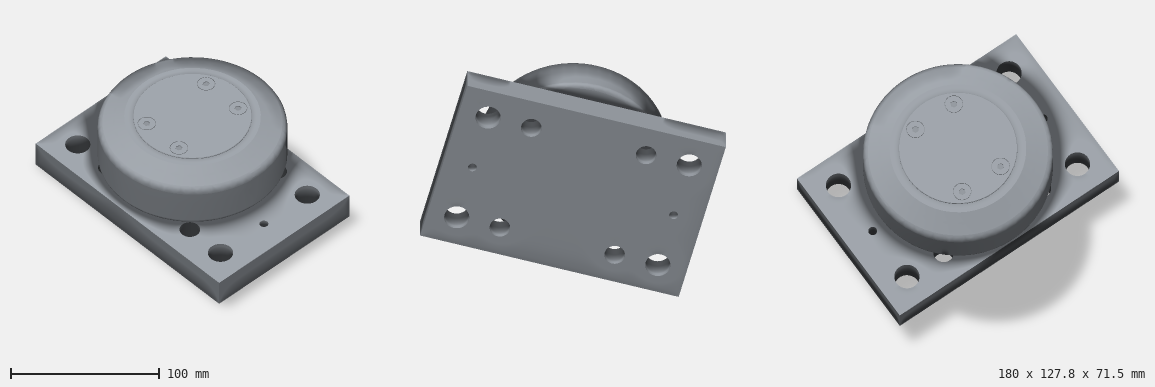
import cadquery as cq
import math

plate_length = 180.0
plate_width = 120.0
plate_thickness = 20.0
mount_hole_diameter = 17.0
mount_hole_x = 70.0
hole_row_y = 40.0
pin_hole_diameter = 6.0
inner_hole_diameter = 13.9
inner_hole_x = hole_row_y

total_height = 71.5
neck_diameter = 80.0
cap_rise = 0.7
cap_chamfer = 0.4

roller_diameter = 127.8
roller_bottom = 33.1
roller_top = total_height - cap_rise
crown_height = 0.2
top_face_radius = 45.9
cone_angle = 20.0
top_fillet = 5.0
bottom_fillet = 3.0

screw_circle_radius = 31.5
screw_angle = 60.0
screw_recess_diameter = 12.5
screw_head_diameter = 11.7
screw_recess_depth = 0.5
socket_across_flats = 4.1
socket_depth = 0.5


def drill(spacing_x, row_count, diameter):
    """Through-hole cutters for the plate, two per row, with the rows centred on the X axis."""
    return (
        cq.Workplane("XY")
        .rarray(spacing_x, 2 * hole_row_y, 2, row_count)
        .circle(diameter / 2)
        .extrude(plate_thickness)
    )


def make_plate():
    plate = cq.Workplane("XY").box(
        plate_length, plate_width, plate_thickness, centered=(True, True, False)
    )
    corner_holes = drill(2 * mount_hole_x, 2, mount_hole_diameter)
    inner_holes = drill(2 * inner_hole_x, 2, inner_hole_diameter)
    pin_holes = drill(2 * mount_hole_x, 1, pin_hole_diameter)
    return plate.cut(corner_holes).cut(inner_holes).cut(pin_holes)


def make_roller():
    """Revolve a half section with a crowned rim, a conical shoulder and rounded corners."""
    crown_radius = roller_diameter / 2
    rim_radius = crown_radius - crown_height
    cone_drop = (rim_radius - top_face_radius) * math.tan(math.radians(cone_angle))
    rim_top = roller_top - cone_drop
    rim_middle = (rim_top + roller_bottom) / 2
    roller = (
        cq.Workplane("XZ")
        .moveTo(0, roller_bottom)
        .lineTo(rim_radius, roller_bottom)
        .threePointArc((crown_radius, rim_middle), (rim_radius, rim_top))
        .lineTo(top_face_radius, roller_top)
        .lineTo(0, roller_top)
        .close()
        .revolve(360, (0, 0, 0), (0, 1, 0))
    )
    roller = roller.faces("<Z").edges().fillet(bottom_fillet)
    rim_edge = cq.selectors.BoxSelector(
        (-plate_length, -plate_length, rim_top - crown_height),
        (plate_length, plate_length, rim_top + crown_height),
        boundingbox=True,
    )
    return roller.edges(rim_edge).fillet(top_fillet)


def make_core():
    """Solid cylinder that forms the neck below the roller and the cap above it."""
    return (
        cq.Workplane("XY")
        .workplane(offset=plate_thickness)
        .circle(neck_diameter / 2)
        .extrude(total_height - plate_thickness)
        .faces(">Z")
        .chamfer(cap_chamfer)
    )


def make_screw_cuts():
    """Ring gap around each screw head and the hexagon socket in it."""
    screw_x = screw_circle_radius * math.cos(math.radians(screw_angle))
    screw_y = screw_circle_radius * math.sin(math.radians(screw_angle))
    socket_corner_diameter = socket_across_flats / math.cos(math.radians(30))
    top = cq.Workplane("XY").workplane(offset=total_height)
    screws = top.rarray(2 * screw_x, 2 * screw_y, 2, 2)
    gaps = (
        screws.circle(screw_recess_diameter / 2)
        .circle(screw_head_diameter / 2)
        .extrude(-screw_recess_depth)
    )
    sockets = screws.polygon(6, socket_corner_diameter).extrude(-socket_depth)
    return gaps.union(sockets)


result = make_plate().union(make_core()).union(make_roller()).cut(make_screw_cuts())